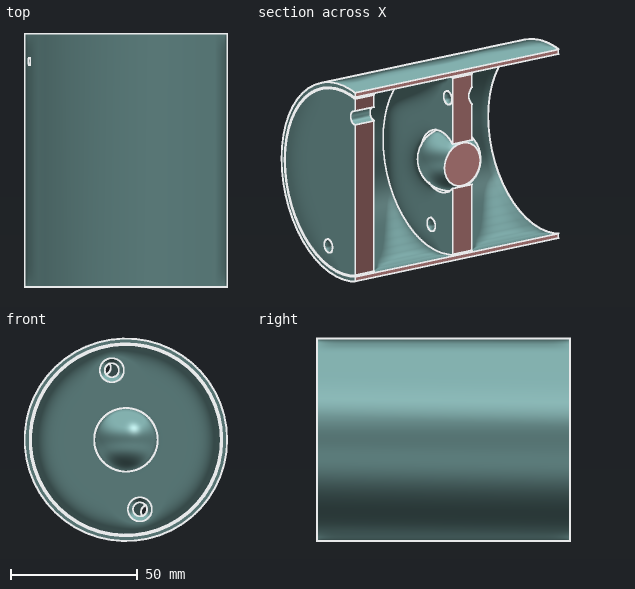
import cadquery as cq
import math

LENGTH = 100.0
TUBE_DIAMETER = 80.0
TUBE_BORE = 76.0
SIDE_HOLE_DIAMETER = 3.0
SIDE_HOLE_FROM_BACK = 11.0
SIDE_HOLE_ANGLE = 17.6

DISC_DIAMETER = 75.0
DISC_THICKNESS = 9.5
FRONT_DISC_DEPTH = 42.5
FRONT_SCREW_RADIUS = 28.0
REAR_SCREW_RADIUS = 29.8
SCREW_HOLE_DIAMETER = 5.5
COUNTERSINK_DIAMETER = 9.5
COUNTERSINK_ANGLE = 90.0
FRONT_SCREW_ANGLE = 101.4
REAR_SCREW_ANGLE = 107.1

BALL_DIAMETER = 25.0
BALL_HOLE_DIAMETER = 25.2

TUBE_FRONT = -LENGTH / 2
SIDE_HOLE_Y = LENGTH / 2 - SIDE_HOLE_FROM_BACK
FRONT_DISC_Y = TUBE_FRONT + FRONT_DISC_DEPTH
REAR_DISC_Y = LENGTH / 2 - DISC_THICKNESS
BALL_Y = FRONT_DISC_Y + DISC_THICKNESS / 2


def section_at(y):
    """Workplane facing -Y at the given Y, with local x = X and local y = Z."""
    return cq.Workplane("XZ", origin=(0, y, 0))


def screw_points(radius, angle):
    """Two opposite places on a screw circle."""
    return [
        (
            radius * math.cos(math.radians(angle + turn)),
            radius * math.sin(math.radians(angle + turn)),
        )
        for turn in (0, 180)
    ]


def make_tube():
    tube = section_at(TUBE_FRONT).circle(TUBE_DIAMETER / 2).circle(TUBE_BORE / 2).extrude(-LENGTH)
    angle = math.radians(SIDE_HOLE_ANGLE)
    outward = cq.Vector(-math.cos(angle), 0, math.sin(angle))
    start = cq.Vector(0, SIDE_HOLE_Y, 0)
    side_hole = cq.Solid.makeCylinder(SIDE_HOLE_DIAMETER / 2, TUBE_DIAMETER, start, outward)
    return tube.cut(cq.Workplane(side_hole))


def make_front_disc():
    disc = section_at(FRONT_DISC_Y).circle(DISC_DIAMETER / 2).extrude(-DISC_THICKNESS)
    disc = disc.cut(section_at(FRONT_DISC_Y).circle(BALL_HOLE_DIAMETER / 2).extrude(-DISC_THICKNESS))
    return (
        section_at(FRONT_DISC_Y).add(disc).pushPoints(screw_points(FRONT_SCREW_RADIUS, FRONT_SCREW_ANGLE))
        .cskHole(SCREW_HOLE_DIAMETER, COUNTERSINK_DIAMETER, COUNTERSINK_ANGLE)
    )


def make_rear_disc():
    disc = section_at(REAR_DISC_Y).circle(DISC_DIAMETER / 2).extrude(-DISC_THICKNESS)
    holes = (
        section_at(REAR_DISC_Y).pushPoints(screw_points(REAR_SCREW_RADIUS, REAR_SCREW_ANGLE))
        .circle(SCREW_HOLE_DIAMETER / 2).extrude(-DISC_THICKNESS)
    )
    return disc.cut(holes)


def make_ball():
    return cq.Workplane("XY").sphere(BALL_DIAMETER / 2).translate((0, BALL_Y, 0))


tube = make_tube()
front_disc = make_front_disc()
rear_disc = make_rear_disc()
ball = make_ball()

result = cq.Compound.makeCompound([tube.val(), front_disc.val(), rear_disc.val(), ball.val()])